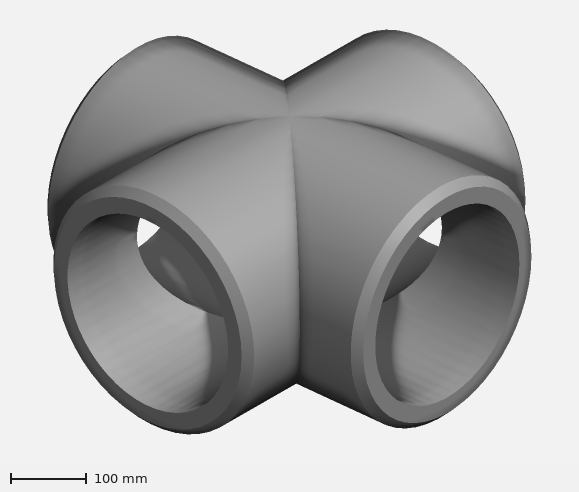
import cadquery as cq

length = 559.0
outer_diameter = 355.5
bore_diameter = 284.5
end_chamfer = 12.0


def along_x_and_y(diameter):
    """Return two crossing cylinders, one along X and one along Y."""
    along_x = cq.Workplane("YZ").circle(diameter / 2).extrude(length / 2, both=True)
    along_y = cq.Workplane("XZ").circle(diameter / 2).extrude(length / 2, both=True)
    return along_x, along_y


run, branch = along_x_and_y(outer_diameter)
run = run.faces("<X or >X").chamfer(end_chamfer)
branch = branch.faces("<Y or >Y").chamfer(end_chamfer)
body = run.union(branch)

run_bore, branch_bore = along_x_and_y(bore_diameter)
result = body.cut(run_bore).cut(branch_bore)